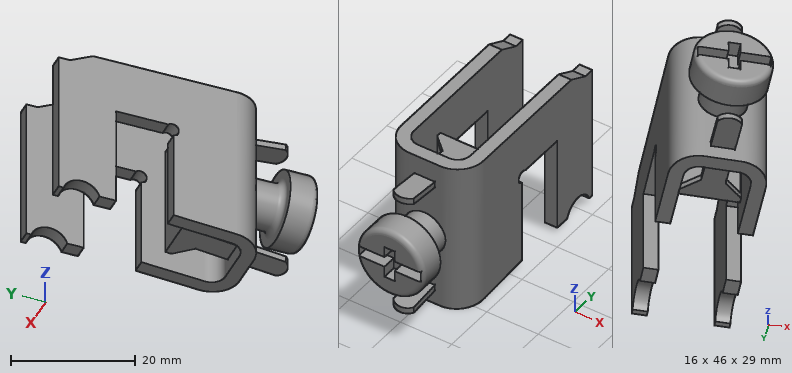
import cadquery as cq


BRACKET_WIDTH = 16.0
TOTAL_LENGTH = 46.0
TOTAL_HEIGHT = 29.0
SHEET = 2.5
BEND_RADIUS = 5.0
TOP_Z = 15.0
FOOT_Z = -13.0
STEP_DROP = 2.0
STEP_LENGTH = 2.0
RAMP_END = 6.0
WINDOW_START = 10.0
WINDOW_WIDTH = 10.05
WINDOW_TOP_Z = 5.0
RELIEF_RADIUS = 1.1
RELIEF_INSET_Y = 0.2
RELIEF_DROP = 0.85
NOTCH_RADIUS = 3.25
NOTCH_FROM_END = 4.0
NOTCH_BELOW_FOOT = 1.0

SHANK_DIAMETER = 8.0
HEAD_DIAMETER = 13.0
HEAD_LENGTH = 5.0
HEAD_FRONT = 10.0
EDGE_RADIUS = 1.0
DRIVE_WIDTH = 2.0
SLOT_LENGTH = 12.0
DRIVE_DEPTH = 2.65
CROSS_LENGTH = 6.1

CLIP_THICKNESS = 1.15
CLIP_BACK = 12.0
CLIP_REACH = 7.0
TIP_HEIGHT = 11.95
LEG_RISE = 0.7
TONGUE_WIDTH = 4.0
TIP_ARC_HEIGHT = 1.0
BASE_WIDTH = 10.2
FLARE_START = 8.05
FLARE_END = 11.0

OPEN_END = TOTAL_LENGTH - HEAD_FRONT
BOTTOM_Z = TOP_Z - TOTAL_HEIGHT


def prism_along_x(outline, width):
    """Extrude a closed YZ outline symmetrically about X = 0."""
    return outline.extrude(width / 2, both=True)


def u_plan():
    """Bent sheet at full height, with concentric bend radii."""
    inner_width = BRACKET_WIDTH - 2 * SHEET
    outer = (
        cq.Workplane("XY", origin=(0, 0, BOTTOM_Z))
        .rect(BRACKET_WIDTH, OPEN_END)
        .extrude(TOTAL_HEIGHT)
        .translate((0, OPEN_END / 2, 0))
        .edges("|Z and <Y")
        .fillet(BEND_RADIUS)
    )
    inner = (
        cq.Workplane("XY", origin=(0, 0, BOTTOM_Z))
        .rect(inner_width, OPEN_END)
        .extrude(TOTAL_HEIGHT)
        .translate((0, OPEN_END / 2 + SHEET, 0))
        .edges("|Z and <Y")
        .fillet(BEND_RADIUS - SHEET)
    )
    return outer.cut(inner)


def side_profile():
    """Side outline with the top ramp, the window and the sloping front underside."""
    window_back = OPEN_END - WINDOW_START
    window_front = window_back - WINDOW_WIDTH
    outline = cq.Workplane("YZ").polyline([
        (0, BOTTOM_Z),
        (0, TOP_Z),
        (OPEN_END - RAMP_END, TOP_Z),
        (OPEN_END - STEP_LENGTH, TOP_Z - STEP_DROP),
        (OPEN_END, TOP_Z - STEP_DROP),
        (OPEN_END, FOOT_Z),
        (window_back, FOOT_Z),
        (window_back, WINDOW_TOP_Z),
        (window_front, WINDOW_TOP_Z),
        (window_front, FOOT_Z),
    ]).close()
    relief = (
        cq.Workplane("YZ")
        .center(window_front + RELIEF_INSET_Y, WINDOW_TOP_Z - RELIEF_DROP)
        .circle(RELIEF_RADIUS)
    )
    notch = (
        cq.Workplane("YZ")
        .center(OPEN_END - NOTCH_FROM_END, FOOT_Z - NOTCH_BELOW_FOOT)
        .circle(NOTCH_RADIUS)
    )
    profile = prism_along_x(outline, BRACKET_WIDTH)
    profile = profile.cut(prism_along_x(relief, BRACKET_WIDTH))
    return profile.cut(prism_along_x(notch, BRACKET_WIDTH))


def make_clip():
    """Side shape of the U strip, trimmed to its flared plan outline."""
    slope = LEG_RISE / CLIP_REACH
    back_height = TIP_HEIGHT - slope * (CLIP_REACH + CLIP_BACK)
    base_front = CLIP_BACK - CLIP_THICKNESS
    inside_tip = TIP_HEIGHT - CLIP_THICKNESS
    inside_back = back_height + slope * CLIP_THICKNESS - CLIP_THICKNESS
    strip = prism_along_x(
        cq.Workplane("YZ").polyline([
            (-CLIP_REACH, TIP_HEIGHT),
            (CLIP_BACK, back_height),
            (CLIP_BACK, -back_height),
            (-CLIP_REACH, -TIP_HEIGHT),
            (-CLIP_REACH, -inside_tip),
            (base_front, -inside_back),
            (base_front, inside_back),
            (-CLIP_REACH, inside_tip),
        ]).close(),
        BASE_WIDTH,
    )
    half_tongue = TONGUE_WIDTH / 2
    half_base = BASE_WIDTH / 2
    tip_corner = TIP_ARC_HEIGHT - CLIP_REACH
    plan = (
        cq.Workplane("XY")
        .moveTo(-half_tongue, tip_corner)
        .threePointArc((0, -CLIP_REACH), (half_tongue, tip_corner))
        .lineTo(half_tongue, FLARE_START)
        .lineTo(half_base, FLARE_END)
        .lineTo(half_base, CLIP_BACK)
        .lineTo(-half_base, CLIP_BACK)
        .lineTo(-half_base, FLARE_END)
        .lineTo(-half_tongue, FLARE_START)
        .close()
        .extrude(TIP_HEIGHT, both=True)
    )
    return strip.intersect(plan)


def make_screw():
    """Turned screw whose end bears on the clip base, with a slot and a cross arm in the head."""
    shank_radius = SHANK_DIAMETER / 2
    head_radius = HEAD_DIAMETER / 2
    head_back = HEAD_LENGTH - HEAD_FRONT
    shank_end = CLIP_BACK - CLIP_THICKNESS
    head = (
        cq.Workplane("XZ", origin=(0, head_back, 0))
        .circle(head_radius)
        .extrude(HEAD_LENGTH)
        .faces("<Y")
        .edges()
        .fillet(EDGE_RADIUS)
    )
    shank = (
        cq.Workplane("XZ", origin=(0, shank_end, 0))
        .circle(shank_radius)
        .extrude(shank_end - head_back)
    )
    screw = head.union(shank)
    neck = cq.selectors.BoxSelector(
        (-head_radius, head_back - EDGE_RADIUS / 2, -head_radius),
        (head_radius, head_back + EDGE_RADIUS / 2, head_radius),
    )
    neck_edges = screw.edges(neck).edges(cq.selectors.RadiusNthSelector(0))
    screw = neck_edges.fillet(EDGE_RADIUS)
    head_face = cq.Workplane("XZ", origin=(0, -HEAD_FRONT, 0))
    slot = head_face.rect(SLOT_LENGTH, DRIVE_WIDTH).extrude(-DRIVE_DEPTH)
    cross_arm = head_face.rect(DRIVE_WIDTH, CROSS_LENGTH).extrude(-DRIVE_DEPTH)
    return screw.cut(slot).cut(cross_arm)


def make_bracket(clip, screw):
    """Bent sheet trimmed to its side profile, pierced to fit the clip legs and the screw."""
    return u_plan().intersect(side_profile()).cut(clip).cut(screw)


clip = make_clip()
screw = make_screw()
bracket = make_bracket(clip, screw)

result = cq.Compound.makeCompound([bracket.val(), clip.val(), screw.val()])